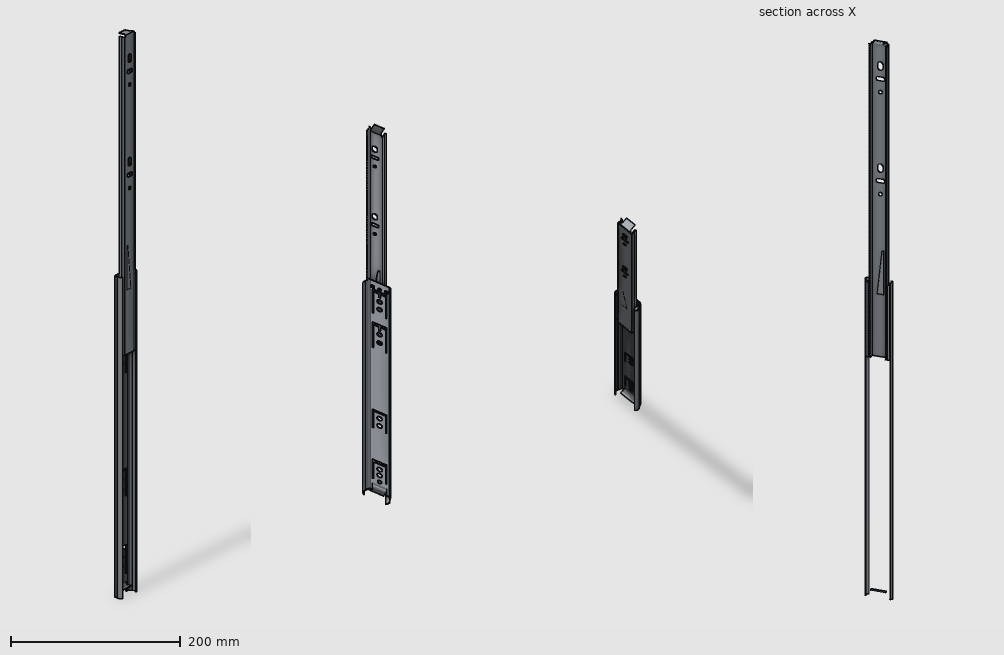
import cadquery as cq

TOTAL_LENGTH = 700.0
OUTER_LENGTH = 400.0
INNER_LENGTH = 398.0
WIDTH = 36.0
SHEET = 1.1
WEB_GAP = 10.5
THICKNESS = WEB_GAP + 2 * SHEET
BACK_X = -THICKNESS / 2
FRONT_X = THICKNESS / 2
INNER_BOTTOM_Z = TOTAL_LENGTH - INNER_LENGTH

OUTER_WEB_HALF = 13.0
OUTER_BEND_X = -5.25
OUTER_BEND_HALF = 15.5
RACE_START_X = -1.0
RACE_START_HALF = 17.0
RACE_CROWN_X = 1.5
RACE_END_X = 5.95
RACE_END_HALF = 15.0

INNER_HALF = 11.0
INNER_CORNER_X = 3.85
GROOVE_X = 1.05
GROOVE_HALF = 10.5
TIP_X = -1.5
TIP_HALF = 12.0

HOLE_RADIUS = 3.5
SMALL_HOLE_RADIUS = 2.25
TONGUE_HALF = 10.0
LEG_SLOT = 1.75
TONGUES = [(383.0, 4.0, 338.0), (320.0, 4.0, 272.0), (153.0, 2.0, 119.0), (58.0, 4.0, 22.5)]
MOUNT_HOLE_ZS = [364.0, 349.0, 302.0, 285.5, 141.5, 127.5, 44.0, 33.0]
UPPER_SMALL_HOLE_Z = 387.0
LOWER_HOLE_Z = 20.0
LOWER_HOLE_RADIUS = 3.0
STEM_TONGUES = 2
STEM_WIDTH = 3.0
STEM_LENGTH = 6.0
STOP_WINDOW = 4.0
STOP_WINDOW_Y = 9.0
STOP_WINDOW_Z = 388.0
NOTCH_HEIGHT = 8.0
STOP_FLANGE_LENGTH = 8.5
STOP_BEND_RADIUS = 4.0

HOLE_GROUP_TOPS = [668.5, 540.0]
SLOT_DROP = 16.0
SMALL_HOLE_DROP = 33.0
UPRIGHT_SLOT_LENGTH = 10.5
UPRIGHT_SLOT_WIDTH = 7.0
CROSS_SLOT_LENGTH = 11.0
CROSS_SLOT_WIDTH = 5.0
SHOULDER_DROP = 3.0
TAB_HALF = 6.65
TAB_ROOT_HALF = 8.5
TAB_FLARE_X = 2.0
TAB_TIP_X = -5.25

CAGE_BOTTOM_Z = 302.0
CAGE_TOP_Z = 396.0
CAGE_MIN_X = -1.05
CAGE_MAX_X = 3.85
CAGE_NEAR_Y = 12.5
CAGE_FAR_Y = 15.5

LEVER_TOP_Z = 436.0
LEVER_BOTTOM_Z = 381.5
LEVER_THICKNESS = 2.0
LEVER_STRAIGHT_Y = -5.25
LEVER_TOP_WIDTH = 2.0
LEVER_BOTTOM_WIDTH = 8.5


def web_cut(center_y, center_z, size_y, size_z):
    """Rectangular prism through the whole slide thickness."""
    return cq.Workplane("XY").box(2 * THICKNESS, size_y, size_z).translate((0, center_y, center_z))


def web_hole(z, radius):
    return cq.Workplane("YZ").center(0, z).circle(radius).extrude(2 * THICKNESS, both=True)


def web_slot(z, length, width, angle):
    return cq.Workplane("YZ").center(0, z).slot2D(length, width, angle).extrude(2 * THICKNESS, both=True)


def outer_section():
    half = (
        cq.Workplane("XY")
        .moveTo(BACK_X, 0)
        .lineTo(BACK_X, OUTER_WEB_HALF)
        .lineTo(OUTER_BEND_X, OUTER_BEND_HALF)
        .lineTo(RACE_START_X, RACE_START_HALF)
        .threePointArc((RACE_CROWN_X, WIDTH / 2), (RACE_END_X, RACE_END_HALF))
        .lineTo(RACE_END_X - SHEET, RACE_END_HALF - SHEET / 2)
        .threePointArc((RACE_CROWN_X, WIDTH / 2 - SHEET), (RACE_START_X, RACE_START_HALF - SHEET))
        .lineTo(OUTER_BEND_X + SHEET, OUTER_BEND_HALF - SHEET)
        .lineTo(BACK_X + SHEET, OUTER_WEB_HALF - SHEET / 2)
        .lineTo(BACK_X + SHEET, 0)
        .close()
        .extrude(OUTER_LENGTH)
    )
    return half.union(half.mirror("XZ")).clean()


def tongue_slots(top, cross_height, bottom):
    slots = web_cut(0, top - cross_height / 2, 2 * TONGUE_HALF, cross_height)
    for side in (-1, 1):
        slots = slots.union(
            web_cut(side * (TONGUE_HALF - LEG_SLOT / 2), (top + bottom) / 2, LEG_SLOT, top - bottom)
        )
    return slots


def stop_flange():
    """Foot of the web bent inward above the bottom notch."""
    bend_top_z = NOTCH_HEIGHT + STOP_BEND_RADIUS
    bend_end_x = BACK_X + STOP_BEND_RADIUS
    flange_end_x = BACK_X + STOP_FLANGE_LENGTH
    return (
        cq.Workplane("XZ")
        .moveTo(BACK_X, bend_top_z)
        .radiusArc((bend_end_x, NOTCH_HEIGHT), -STOP_BEND_RADIUS)
        .lineTo(flange_end_x, NOTCH_HEIGHT)
        .lineTo(flange_end_x, NOTCH_HEIGHT + SHEET)
        .lineTo(bend_end_x, NOTCH_HEIGHT + SHEET)
        .radiusArc((BACK_X + SHEET, bend_top_z), STOP_BEND_RADIUS - SHEET)
        .close()
        .extrude(TONGUE_HALF, both=True)
    )


def make_outer_rail():
    rail = outer_section()
    for top, cross_height, bottom in TONGUES:
        rail = rail.cut(tongue_slots(top, cross_height, bottom))
    for top, cross_height, _ in TONGUES[:STEM_TONGUES]:
        rail = rail.cut(web_cut(0, top - cross_height - STEM_LENGTH / 2, STEM_WIDTH, STEM_LENGTH))
    for z in MOUNT_HOLE_ZS:
        rail = rail.cut(web_hole(z, HOLE_RADIUS))
    rail = rail.cut(web_hole(UPPER_SMALL_HOLE_Z, SMALL_HOLE_RADIUS))
    rail = rail.cut(web_hole(LOWER_HOLE_Z, LOWER_HOLE_RADIUS))
    for side in (-1, 1):
        rail = rail.cut(web_cut(side * STOP_WINDOW_Y, STOP_WINDOW_Z, STOP_WINDOW, STOP_WINDOW))
    cut_height = NOTCH_HEIGHT + STOP_BEND_RADIUS
    rail = rail.cut(web_cut(0, cut_height / 2, 2 * TONGUE_HALF, cut_height))
    return rail.union(stop_flange())


def inner_section():
    half = (
        cq.Workplane("XY")
        .moveTo(FRONT_X, 0)
        .lineTo(FRONT_X, INNER_HALF)
        .lineTo(INNER_CORNER_X, INNER_HALF)
        .lineTo(GROOVE_X, GROOVE_HALF)
        .lineTo(TIP_X, TIP_HALF)
        .lineTo(TIP_X, TIP_HALF - 2 * SHEET)
        .lineTo(GROOVE_X, GROOVE_HALF - SHEET)
        .lineTo(FRONT_X - SHEET, INNER_HALF - SHEET)
        .lineTo(FRONT_X - SHEET, 0)
        .close()
        .extrude(INNER_LENGTH - SHOULDER_DROP)
        .translate((0, 0, INNER_BOTTOM_Z))
    )
    return half.union(half.mirror("XZ")).clean()


def make_inner_rail():
    rail = inner_section()
    shoulder_z = TOTAL_LENGTH - SHOULDER_DROP
    neck = (
        cq.Workplane("YZ", origin=(FRONT_X - SHEET, 0, 0))
        .polyline([
            (-INNER_HALF + SHEET, shoulder_z),
            (INNER_HALF - SHEET, shoulder_z),
            (TAB_ROOT_HALF, TOTAL_LENGTH),
            (-TAB_ROOT_HALF, TOTAL_LENGTH),
        ])
        .close()
        .extrude(SHEET)
    )
    half_tab = (
        cq.Workplane("XY", origin=(0, 0, TOTAL_LENGTH - SHEET))
        .polyline([
            (TAB_TIP_X, 0),
            (TAB_TIP_X, TAB_HALF),
            (TAB_FLARE_X, TAB_HALF),
            (FRONT_X - SHEET, TAB_ROOT_HALF),
            (FRONT_X - SHEET, 0),
        ])
        .close()
        .extrude(SHEET)
    )
    rail = rail.union(neck).union(half_tab).union(half_tab.mirror("XZ")).clean()
    for z in HOLE_GROUP_TOPS:
        rail = rail.cut(web_slot(z, UPRIGHT_SLOT_LENGTH, UPRIGHT_SLOT_WIDTH, 90))
        rail = rail.cut(web_slot(z - SLOT_DROP, CROSS_SLOT_LENGTH, CROSS_SLOT_WIDTH, 0))
        rail = rail.cut(web_hole(z - SMALL_HOLE_DROP, SMALL_HOLE_RADIUS))
    return rail


def make_lever():
    return (
        cq.Workplane("YZ", origin=(FRONT_X - SHEET - LEVER_THICKNESS, 0, 0))
        .polyline([
            (LEVER_STRAIGHT_Y, LEVER_TOP_Z),
            (LEVER_STRAIGHT_Y + LEVER_TOP_WIDTH, LEVER_TOP_Z),
            (LEVER_STRAIGHT_Y + LEVER_BOTTOM_WIDTH, LEVER_BOTTOM_Z),
            (LEVER_STRAIGHT_Y, LEVER_BOTTOM_Z),
        ])
        .close()
        .extrude(LEVER_THICKNESS)
    )


def make_ball_cage(side):
    """Strip between the rails on the +Y (side = 1) or -Y (side = -1) edge."""
    strip = cq.Workplane("XY").box(
        CAGE_MAX_X - CAGE_MIN_X, CAGE_FAR_Y - CAGE_NEAR_Y, CAGE_TOP_Z - CAGE_BOTTOM_Z
    )
    return strip.translate((
        (CAGE_MIN_X + CAGE_MAX_X) / 2,
        side * (CAGE_NEAR_Y + CAGE_FAR_Y) / 2,
        (CAGE_BOTTOM_Z + CAGE_TOP_Z) / 2,
    ))


outer_rail = make_outer_rail()
inner_rail = make_inner_rail()
lever = make_lever()
ball_cages = [make_ball_cage(side) for side in (-1, 1)]
result = cq.Compound.makeCompound([
    outer_rail.val(),
    inner_rail.val(),
    lever.val(),
    *[cage.val() for cage in ball_cages],
])